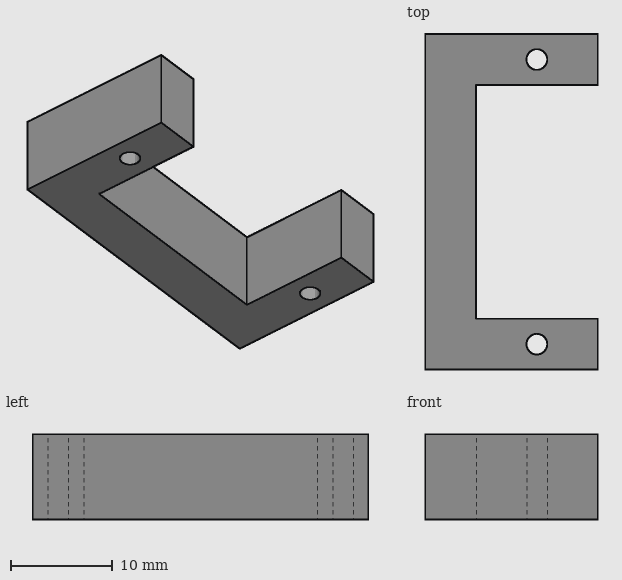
import cadquery as cq

depth = 17.0
length = 33.0
height = 8.4

bar_width = 5.0

hole_diameter = 2.0
hole_from_back = 11.0
hole_spacing = length - bar_width


def bracket_body():
    """U-shaped body with its back at X = 0, open towards +X."""
    block = cq.Workplane("XY").box(depth, length, height, centered=(False, True, False))
    opening = (
        cq.Workplane("XY")
        .box(depth - bar_width, length - 2 * bar_width, height, centered=(False, True, False))
        .translate((bar_width, 0, 0))
    )
    return block.cut(opening)


def arm_holes():
    """Vertical cylinders that pass through both arms."""
    centres = [(hole_from_back, side * hole_spacing / 2) for side in (-1, 1)]
    return cq.Workplane("XY").pushPoints(centres).circle(hole_diameter / 2).extrude(height)


result = bracket_body().cut(arm_holes())